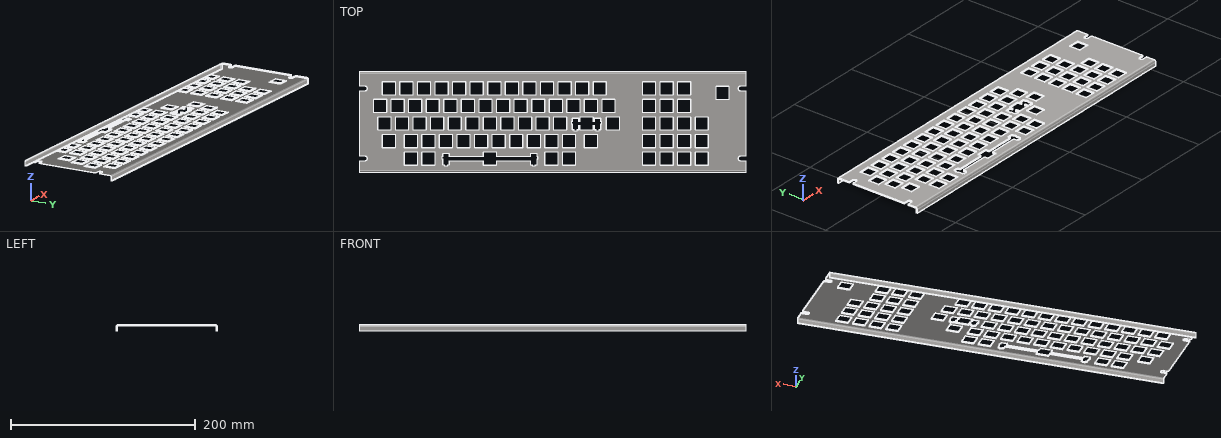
import cadquery as cq

length = 418.5
width = 109.5
height = 7.0
sheet = 1.5
bend_inner = 0.75
bend_outer = bend_inner + sheet

slot_width = 5.0
slot_depth = 8.5
slot_spacing = 75.8
slot_middle_y = -1.5

pitch = 247.5 / 13
key_gap = 5.0
key_size = pitch - key_gap
first_key_x = -177.5
middle_row_y = -1.5
numpad_x = 104.3
lone_key_x = 184.0
lone_key_y = 31.5

middle_row = 2
enter_row = 2
space_row = 4

enter_column = 11.25
space_column = 5.75
main_rows = [
    list(range(13)),
    [i - 0.5 for i in range(14)],
    [i - 0.25 for i in range(11)] + [enter_column, enter_column + 1.5],
    [0] + [i + 1.25 for i in range(10)] + [11.5],
    [1.25, 2.25, space_column, space_column + 3.5, space_column + 4.5],
]
numpad_row_counts = [3, 3, 4, 4, 4]

space_stabiliser_spacing = 5 * pitch
enter_stabiliser_spacing = 24.0
stabiliser_width = 6.5
stabiliser_top = 5.5
stabiliser_bottom = -6.5
foot_width = 3.0
foot_bottom = -8.0
ear_depth = 0.9
ear_top = 2.3
ear_bottom = -0.5
channel_height = 4.5

cutter_bottom = height - 2 * sheet
cutter_height = 3 * sheet


def column_x(column):
    return first_key_x + column * pitch


def row_y(row):
    return middle_row_y + (middle_row - row) * pitch


def arch(arch_width, arch_height, radius):
    """Long bar standing on Z = 0 with its two upper long edges rounded."""
    return (
        cq.Workplane("XY")
        .box(length, arch_width, arch_height, centered=(True, True, False))
        .edges("|X and >Z")
        .fillet(radius)
    )


def folded_sheet():
    """Flat top with a flange folded down along each long side."""
    outside = arch(width, height, bend_outer)
    inside = arch(width - 2 * sheet, height - sheet, bend_inner)
    return outside.cut(inside)


def cutter_plane():
    return cq.Workplane("XY", origin=(0, 0, cutter_bottom))


def rectangle_cutter(x_min, x_max, y_min, y_max):
    return (
        cutter_plane()
        .center((x_min + x_max) / 2, (y_min + y_max) / 2)
        .rect(x_max - x_min, y_max - y_min)
        .extrude(cutter_height)
    )


def slot_cutters():
    """Slots twice the needed length, centred on the short sides."""
    half_spacing = slot_spacing / 2
    centres = [
        (x, slot_middle_y + dy)
        for x in (-length / 2, length / 2)
        for dy in (-half_spacing, half_spacing)
    ]
    return cutter_plane().pushPoints(centres).slot2D(2 * slot_depth, slot_width).extrude(cutter_height)


def key_cutters():
    centres = [(lone_key_x, lone_key_y)]
    for row, columns in enumerate(main_rows):
        centres += [(column_x(column), row_y(row)) for column in columns]
    for row, count in enumerate(numpad_row_counts):
        centres += [(numpad_x + i * pitch, row_y(row)) for i in range(count)]
    return cutter_plane().pushPoints(centres).rect(key_size, key_size).extrude(cutter_height)


def stabiliser_cutter(key_x, key_y, spacing):
    """Two stabiliser openings beside a key, joined by a channel for the wire."""
    half_spacing = spacing / 2
    half_width = stabiliser_width / 2
    half_foot = foot_width / 2
    half_channel = channel_height / 2
    cutter = rectangle_cutter(
        key_x - half_spacing, key_x + half_spacing, key_y - half_channel, key_y + half_channel
    )
    for side in (-1, 1):
        x = key_x + side * half_spacing
        body = rectangle_cutter(
            x - half_width, x + half_width, key_y + stabiliser_bottom, key_y + stabiliser_top
        )
        foot = rectangle_cutter(x - half_foot, x + half_foot, key_y + foot_bottom, key_y)
        ear_x_min, ear_x_max = sorted((x, x + side * (half_width + ear_depth)))
        ear = rectangle_cutter(ear_x_min, ear_x_max, key_y + ear_bottom, key_y + ear_top)
        cutter = cutter.union(body).union(foot).union(ear)
    return cutter


space_stabilisers = stabiliser_cutter(column_x(space_column), row_y(space_row), space_stabiliser_spacing)
enter_stabilisers = stabiliser_cutter(column_x(enter_column), row_y(enter_row), enter_stabiliser_spacing)

result = (
    folded_sheet()
    .cut(slot_cutters())
    .cut(key_cutters())
    .cut(space_stabilisers)
    .cut(enter_stabilisers)
)